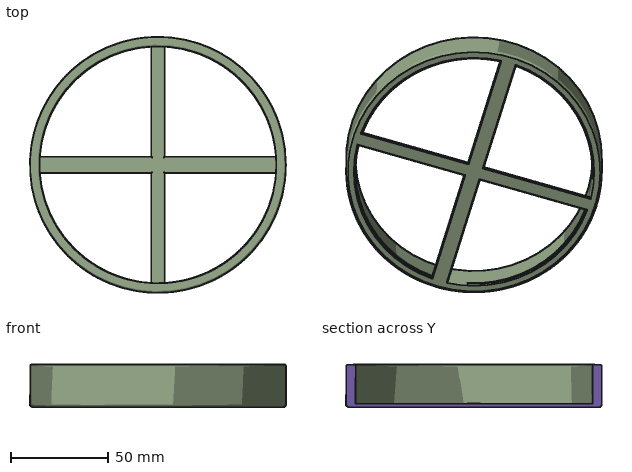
import cadquery as cq

outer_diameter = 131.5
inner_diameter = 121.5
ring_height = 22.0
ring_chamfer = 1.0
ring_rounding = 1.0

spoke_along_x_width = 8.5
spoke_along_y_width = 7.0
spoke_height = 2.0
spoke_chamfer = 0.5
spoke_rounding = 0.7

mid_diameter = (outer_diameter + inner_diameter) / 2
spoke_length = mid_diameter


def edges_at_height(height, tolerance=0.01):
    """Selector for the edges lying entirely at one height."""
    reach = outer_diameter
    return cq.selectors.BoxSelector(
        (-reach, -reach, height - tolerance),
        (reach, reach, height + tolerance),
        boundingbox=True,
    )


def soften_edges(body, chamfer, rounding):
    """Chamfer the bottom edges, then round the chamfers' upper ends and the top edges."""
    body = body.faces("<Z").edges().chamfer(chamfer)
    body = body.edges(edges_at_height(chamfer)).fillet(rounding)
    return body.faces(">Z").edges().fillet(rounding)


def make_ring():
    """Upright ring with softened rims."""
    ring = (
        cq.Workplane("XY")
        .circle(outer_diameter / 2)
        .circle(inner_diameter / 2)
        .extrude(ring_height)
    )
    return soften_edges(ring, ring_chamfer, ring_rounding)


def make_spoke(length_x, length_y):
    """Flat softened bar centred on the ring axis, standing on the bottom plane."""
    bar = cq.Workplane("XY").box(length_x, length_y, spoke_height, centered=(True, True, False))
    return soften_edges(bar, spoke_chamfer, spoke_rounding)


spoke_along_x = make_spoke(spoke_length, spoke_along_x_width)
spoke_along_y = make_spoke(spoke_along_y_width, spoke_length)

result = make_ring().union(spoke_along_x).union(spoke_along_y)